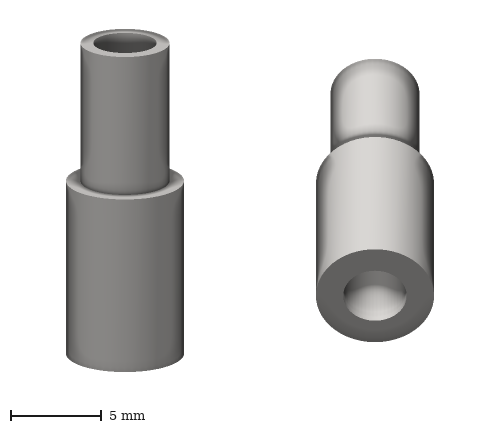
import cadquery as cq

total_height = 18.0
body_height = 10.0
body_diameter = 6.5
neck_diameter = 4.9
bore_diameter = 3.5

neck_height = total_height - body_height

body = cq.Workplane("XY").circle(body_diameter / 2).extrude(body_height)

stepped_sleeve = body.faces(">Z").workplane().circle(neck_diameter / 2).extrude(neck_height)

result = stepped_sleeve.faces(">Z").workplane().hole(bore_diameter)